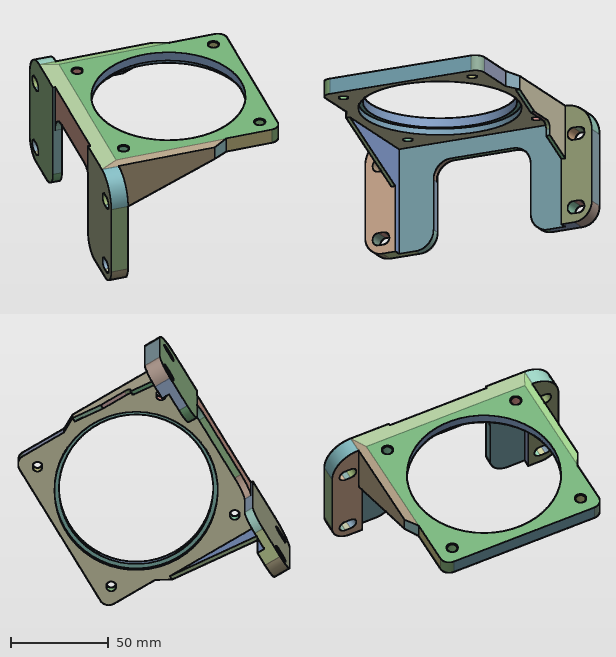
import cadquery as cq

WIDTH = 130.0
DEPTH = 98.5
HEIGHT = 65.0

PLATE_WIDTH = 91.0
PLATE_THICKNESS = 8.3
PLATE_CORNER_RADIUS = 5.1
FAN_CENTER_Y = DEPTH - PLATE_WIDTH / 2
BORE_DIAMETER = 79.0
BORE_RELIEF_DIAMETER = 83.7
BORE_LIP = 5.1
SCREW_SPACING = 73.7
SCREW_DIAMETER = 5.1
SCREW_RIM_DIAMETER = 6.0
SCREW_RIM_ANGLE = 90.0

WALL_THICKNESS = 9.1
WALL_TOP = 64.0
TOP_RADIUS = 15.1
FOOT_RADIUS = 10.0
OPENING_WIDTH = 55.6
OPENING_TOP = 47.2
RECESS_DEPTH = 1.2
SLOT_LENGTH = 9.6
SLOT_HEIGHT = 6.6
SLOT_SPACING_X = 111.8
SLOT_LOW_Z = 8.2
SLOT_HIGH_Z = 48.1

GUSSET_SPAN = 99.6
GUSSET_THICKNESS = 2.2
GUSSET_LENGTH = 61.2
GUSSET_BLEND_LENGTH = 68.9
GUSSET_FOOT_Z = 35.4
NOTCH_TOP = 49.8
NOTCH_FRONT_Y = 26.6
NOTCH_RADIUS = 3.6

FAN_POCKET_WIDTH = GUSSET_SPAN - 2 * GUSSET_THICKNESS
FAN_POCKET_FRONT_Y = 5.0

PLATE_BOTTOM = HEIGHT - PLATE_THICKNESS


def block(width, y_start, y_end, z_start, z_end):
    """Box centred on X = 0 between the given Y and Z limits."""
    size_y = y_end - y_start
    size_z = z_end - z_start
    return cq.Workplane("XY").box(width, size_y, size_z, centered=(True, False, False)).translate(
        (0, y_start, z_start)
    )


def make_wall():
    wall = block(WIDTH, 0, WALL_THICKNESS, 0, WALL_TOP)
    wall = wall.edges("|Y and >Z").fillet(TOP_RADIUS)
    opening = block(OPENING_WIDTH, 0, WALL_THICKNESS, 0, OPENING_TOP)
    opening = opening.edges("|Y and >Z").fillet(FOOT_RADIUS)
    return wall.cut(opening).edges("|Y and <Z").fillet(FOOT_RADIUS)


def make_plate():
    plate = block(PLATE_WIDTH, WALL_THICKNESS, DEPTH, PLATE_BOTTOM, HEIGHT)
    return plate.edges("|Z and >Y").fillet(PLATE_CORNER_RADIUS)


def make_gussets():
    """Tapered side walls, with a cable notch through the one at -X."""
    outer = GUSSET_SPAN / 2
    profile = [
        (0, GUSSET_FOOT_Z),
        (WALL_THICKNESS, GUSSET_FOOT_Z),
        (GUSSET_LENGTH, PLATE_BOTTOM),
        (GUSSET_BLEND_LENGTH, PLATE_BOTTOM),
        (GUSSET_BLEND_LENGTH, WALL_TOP),
        (0, WALL_TOP),
    ]
    right = cq.Workplane("YZ").polyline(profile).close().extrude(GUSSET_THICKNESS)
    right = right.translate((outer - GUSSET_THICKNESS, 0, 0))
    corner_points = [
        (outer, GUSSET_LENGTH),
        (outer, GUSSET_BLEND_LENGTH),
        (PLATE_WIDTH / 2, GUSSET_BLEND_LENGTH),
    ]
    rear_corner = cq.Workplane("XY").polyline(corner_points).close().extrude(HEIGHT)
    right = right.cut(rear_corner)
    left = right.mirror("YZ")
    notch = block(GUSSET_SPAN, NOTCH_FRONT_Y, GUSSET_LENGTH, 0, NOTCH_TOP)
    notch = notch.edges("|X and <Y and >Z").fillet(NOTCH_RADIUS).translate((-outer, 0, 0))
    return right.union(left.cut(notch))


def make_sloped_cap():
    """Top skin falling away from the plate toward the front and both sides."""
    outer = GUSSET_SPAN / 2
    inner = PLATE_WIDTH / 2
    front_edge = cq.Workplane("YZ").polyline(
        [(0, PLATE_BOTTOM), (0, WALL_TOP), (WALL_THICKNESS, HEIGHT), (DEPTH, HEIGHT), (DEPTH, PLATE_BOTTOM)]
    ).close().extrude(outer, both=True)
    side_edges = cq.Workplane("XZ").polyline(
        [
            (-outer, PLATE_BOTTOM),
            (-outer, WALL_TOP),
            (-inner, HEIGHT),
            (inner, HEIGHT),
            (outer, WALL_TOP),
            (outer, PLATE_BOTTOM),
        ]
    ).close().extrude(-DEPTH)
    footprint = cq.Workplane("XY").polyline(
        [
            (-outer, 0),
            (outer, 0),
            (outer, GUSSET_LENGTH),
            (inner, GUSSET_BLEND_LENGTH),
            (-inner, GUSSET_BLEND_LENGTH),
            (-outer, GUSSET_LENGTH),
        ]
    ).close().extrude(HEIGHT)
    return front_edge.intersect(side_edges).intersect(footprint)


def cut_plate_holes(body):
    top = cq.Workplane("XY", origin=(0, FAN_CENTER_Y, HEIGHT))
    body = body.cut(top.circle(BORE_DIAMETER / 2).extrude(-PLATE_THICKNESS))
    relief = top.workplane(offset=-BORE_LIP).circle(BORE_RELIEF_DIAMETER / 2)
    body = body.cut(relief.extrude(BORE_LIP - PLATE_THICKNESS))
    return (
        body.faces(">Z")
        .workplane(origin=(0, FAN_CENTER_Y, HEIGHT))
        .rect(SCREW_SPACING, SCREW_SPACING, forConstruction=True)
        .vertices()
        .cskHole(SCREW_DIAMETER, SCREW_RIM_DIAMETER, SCREW_RIM_ANGLE, PLATE_THICKNESS)
    )


def cut_leg_slots(body):
    half_spacing = SLOT_SPACING_X / 2
    centers = [(x, z) for x in (-half_spacing, half_spacing) for z in (SLOT_LOW_Z, SLOT_HIGH_Z)]
    slots = cq.Workplane("XZ").pushPoints(centers).slot2D(SLOT_LENGTH, SLOT_HEIGHT)
    return body.cut(slots.extrude(-WALL_THICKNESS))


bracket = make_wall().union(make_plate()).union(make_gussets()).union(make_sloped_cap())
bracket = bracket.cut(block(OPENING_WIDTH, 0, RECESS_DEPTH, 0, HEIGHT))
bracket = bracket.cut(block(FAN_POCKET_WIDTH, FAN_POCKET_FRONT_Y, DEPTH, 0, PLATE_BOTTOM))
bracket = cut_plate_holes(bracket)
result = cut_leg_slots(bracket)